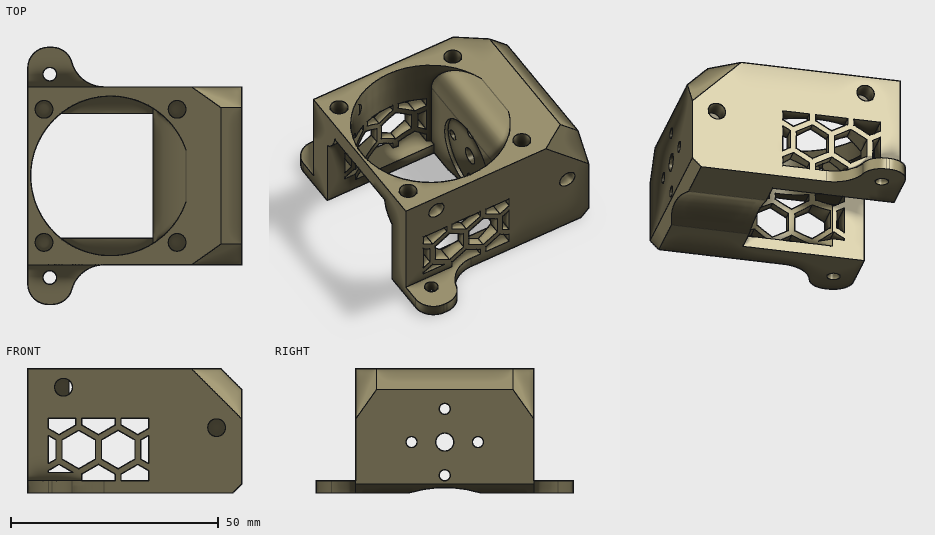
import cadquery as cq
import math

length = 51.6
overall_width = 62.0
height = 29.95
body_width = 42.9
half_width = body_width / 2
edge_chamfer = 5.0
base_chamfer = 2.2

fan_x = 19.95
bore_diameter = 38.45
bore_floor = 3.0
fan_hole_spacing = 32.05
insert_diameter = 4.3
insert_depth = 5.0

cavity_width = 30.0
roof_thickness = 5.0
cavity_height = height - roof_thickness
block_front = 30.15
block_round = 8.0
corner_boss_radius = 8.0
corner_boss_y = 19.45
corner_boss_z = 26.05

seat_z = 12.3
seat_diameter = 20.3
seat_depth = 1.0
shaft_diameter = 4.3
seat_hole_diameter = 2.6
seat_hole_radius = 8.0
relief_width = 17.35
relief_height = 1.3

side_holes = [(8.6, 25.5), (45.5, 15.75)]

window_x = 17.05
window_z = 10.5
window_length = 24.2
window_height = 15.0
cell_flats = 8.0
cell_pitch = 9.5
sill_top = 4.95
sill_end = window_x - cell_flats / 2

lug_thickness = 3.0
lug_width = 10.85
lug_corner = 5.0
lug_root_radius = 8.0
lug_hole_x = 5.35
lug_hole_y = 24.5
lug_hole_diameter = 3.2


def box(x0, x1, y0, y1, z0, z1):
    return cq.Workplane("XY").box(x1 - x0, y1 - y0, z1 - z0, centered=False).translate((x0, y0, z0))


def cylinder(diameter, start, direction, depth):
    return cq.Workplane(
        cq.Solid.makeCylinder(diameter / 2, depth, cq.Vector(*start), cq.Vector(*direction))
    )


def make_body():
    body = box(0, length, -half_width, half_width, 0, height)
    body = body.edges(">X and >Z").chamfer(edge_chamfer)
    body = body.edges(">X and <Z").chamfer(base_chamfer)
    return body.faces(">(1, 0, 1)").edges("|(1, 0, -1)").chamfer(edge_chamfer)


def make_cavity():
    """Fan bore plus the box below it, kept clear of the back block and the corner bosses."""
    half_cavity = cavity_width / 2
    duct = box(0, block_front, -half_cavity, half_cavity, 0, cavity_height)
    for side in (-1, 1):
        start = (0, side * corner_boss_y, corner_boss_z)
        duct = duct.cut(cylinder(2 * corner_boss_radius, start, (1, 0, 0), block_front))
    bore = cylinder(bore_diameter, (fan_x, 0, bore_floor), (0, 0, 1), height - bore_floor)
    block = box(block_front, length, -half_width, half_width, 0, height)
    block = block.edges("<X and >Z").fillet(block_round)
    return duct.union(bore.cut(block))


def cut_fan_holes(body):
    for dx in (-1, 1):
        for dy in (-1, 1):
            start = (fan_x + dx * fan_hole_spacing / 2, dy * fan_hole_spacing / 2, height)
            body = body.cut(cylinder(insert_diameter, start, (0, 0, -1), insert_depth))
    return body


def cut_side_holes(body):
    for x, z in side_holes:
        for side in (-1, 1):
            start = (x, side * half_width, z)
            body = body.cut(cylinder(insert_diameter, start, (0, -side, 0), insert_depth))
    return body


def cut_back_block(body):
    seat = cylinder(seat_diameter, (0, 0, seat_z), (1, 0, 0), block_front + seat_depth)
    body = body.cut(seat)
    body = body.cut(cylinder(shaft_diameter, (0, 0, seat_z), (1, 0, 0), length))
    for dy, dz in ((1, 0), (-1, 0), (0, 1), (0, -1)):
        start = (0, dy * seat_hole_radius, seat_z + dz * seat_hole_radius)
        body = body.cut(cylinder(seat_hole_diameter, start, (1, 0, 0), length))
    relief = (
        cq.Workplane("YZ")
        .moveTo(-relief_width / 2, 0)
        .threePointArc((0, relief_height), (relief_width / 2, 0))
        .close()
        .extrude(length)
    )
    return body.cut(relief)


def make_honeycomb():
    """Hexagonal cells clipped to the window, running through both side walls."""
    row_pitch = cell_pitch * math.sqrt(3) / 2
    centres = []
    for row in (-1, 0, 1):
        columns = (-1, 0, 1) if row else (-1.5, -0.5, 0.5, 1.5)
        centres += [(column * cell_pitch, row * row_pitch) for column in columns]
    corner_radius = cell_flats / math.sqrt(3)
    plane = cq.Plane((window_x, half_width, window_z), (1, 0, 0), (0, -1, 0))
    cell = cq.Sketch().regularPolygon(corner_radius, 6)
    cells = cq.Workplane(plane).pushPoints(centres).placeSketch(cell).extrude(body_width)
    window = cq.Workplane(plane).rect(window_length, window_height).extrude(body_width)
    sill = box(0, sill_end, -half_width, half_width, 0, sill_top)
    return cells.intersect(window).cut(sill)


def make_lug():
    """Lug on the +Y side, blended into the body by a concave arc tangent to both."""
    tip = overall_width / 2
    corner_y = tip - lug_corner
    outer_x = lug_width - lug_corner
    root_y = half_width + lug_root_radius
    centre_gap = lug_corner + lug_root_radius
    root_angle = math.asin((root_y - corner_y) / centre_gap)
    root_x = outer_x + centre_gap * math.cos(root_angle)

    def on_corner(centre_x, angle):
        return centre_x + lug_corner * math.cos(angle), corner_y + lug_corner * math.sin(angle)

    def on_root(angle):
        return root_x + lug_root_radius * math.cos(angle), root_y + lug_root_radius * math.sin(angle)

    root_start = math.pi + root_angle
    root_end = 1.5 * math.pi
    lug = (
        cq.Workplane("XY")
        .moveTo(0, 0)
        .lineTo(0, corner_y)
        .threePointArc(on_corner(lug_corner, 0.75 * math.pi), (lug_corner, tip))
        .lineTo(outer_x, tip)
        .threePointArc(on_corner(outer_x, math.pi / 4), on_corner(outer_x, root_angle))
        .threePointArc(on_root((root_start + root_end) / 2), on_root(root_end))
        .lineTo(root_x, 0)
        .close()
        .extrude(lug_thickness)
    )
    lug = lug.cut(box(0, length, 0, cavity_width / 2, 0, lug_thickness))
    return lug.cut(cylinder(lug_hole_diameter, (lug_hole_x, lug_hole_y, 0), (0, 0, 1), lug_thickness))


body = make_body().cut(make_cavity())
body = cut_fan_holes(body)
body = cut_side_holes(body)
body = cut_back_block(body)
body = body.cut(make_honeycomb())
lug = make_lug()
result = body.union(lug).union(lug.mirror("XZ"))